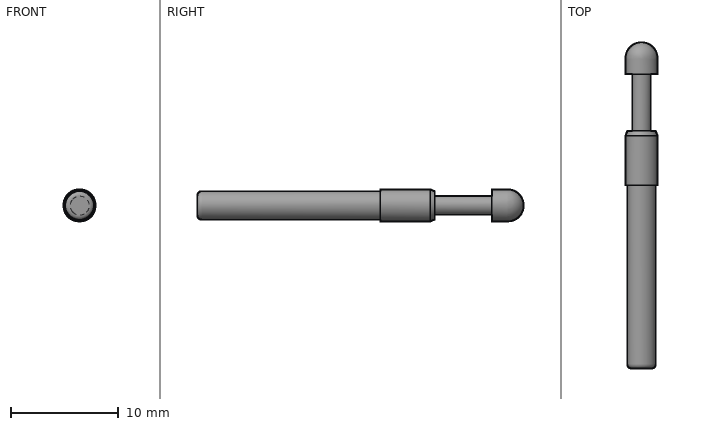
import cadquery as cq

total_length = 30.3
head_diameter = 3.0
head_length = 2.97
stem_diameter = 1.75
stem_length = 5.27
collar_diameter = 3.0
collar_length = 5.05
collar_chamfer_length = 0.45
collar_chamfer_depth = 0.18
barrel_diameter = 2.67
tail_fillet = 0.42

head_radius = head_diameter / 2
tip_y = total_length / 2
tail_y = -total_length / 2
head_base_y = tip_y - head_length
collar_top_y = head_base_y - stem_length
collar_base_y = collar_top_y - collar_length


def rod(diameter, start_y, end_y):
    """Solid cylinder on the Y axis between two Y positions."""
    start = cq.Workplane("XZ", origin=(0, start_y, 0))
    return start.circle(diameter / 2).extrude(start_y - end_y)


def domed_head():
    """Short cylinder ending in a full hemisphere."""
    dome_base_y = tip_y - head_radius
    dome = cq.Workplane("XY").sphere(head_radius).translate((0, dome_base_y, 0))
    return rod(head_diameter, head_base_y, dome_base_y).union(dome)


def collar():
    """Collar with a steep lead-in cone on the stem side."""
    radius = collar_diameter / 2
    profile = (
        cq.Workplane("XY")
        .moveTo(0, collar_base_y)
        .lineTo(radius, collar_base_y)
        .lineTo(radius, collar_top_y - collar_chamfer_length)
        .lineTo(radius - collar_chamfer_depth, collar_top_y)
        .lineTo(0, collar_top_y)
        .close()
    )
    return profile.revolve(360, (0, 0, 0), (0, 1, 0))


def barrel():
    """Plain cylinder with a rounded rear rim."""
    return rod(barrel_diameter, tail_y, collar_base_y).faces("<Y").edges().fillet(tail_fillet)


stem = rod(stem_diameter, collar_top_y, head_base_y)
result = domed_head().union(stem).union(collar()).union(barrel())